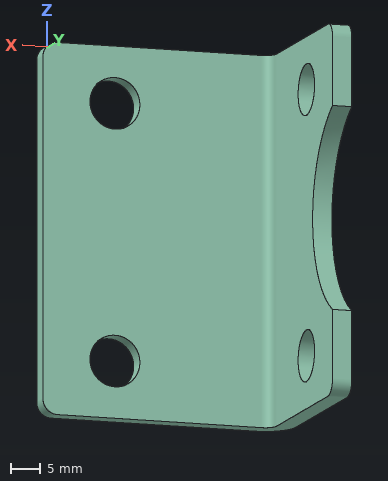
import cadquery as cq

length_x = 45.0
length_y = 36.0
height = 65.0
thickness = 3.5
bend_outer_radius = 5.5
bend_inner_radius = bend_outer_radius - thickness
corner_radius = 2.6

hole_diameter = 9.0
x_leg_hole_offset = 32.0
x_leg_hole_spacing = 45.0
y_leg_hole_offset = 21.8
y_leg_hole_spacing = 46.5

notch_radius = 20.0
notch_depth = 10.85
notch_center_y = length_y - notch_depth + notch_radius

mid_height = height / 2


def bent_plate():
    """L-shaped plate with a rounded bend along Z and its outer corner at the origin."""
    plate = (
        cq.Workplane("XY")
        .moveTo(0, 0)
        .lineTo(length_x, 0)
        .lineTo(length_x, thickness)
        .lineTo(thickness, thickness)
        .lineTo(thickness, length_y)
        .lineTo(0, length_y)
        .close()
        .extrude(height)
    )
    inner_corner = cq.selectors.NearestToPointSelector((thickness, thickness, mid_height))
    outer_corner = cq.selectors.NearestToPointSelector((0, 0, mid_height))
    plate = plate.edges("|Z").edges(inner_corner).fillet(bend_inner_radius)
    plate = plate.edges("|Z").edges(outer_corner).fillet(bend_outer_radius)
    plate = plate.faces(">X").edges("|Y").fillet(corner_radius)
    return plate.faces(">Y").edges("|X").fillet(corner_radius)


def cylinder_through_x_leg(x, z, radius):
    return cq.Workplane("XZ").center(x, z).circle(radius).extrude(-thickness)


def cylinder_through_y_leg(y, z, radius):
    return cq.Workplane("YZ").center(y, z).circle(radius).extrude(thickness)


result = bent_plate()
for side in (-1, 1):
    x_leg_hole_z = mid_height + side * x_leg_hole_spacing / 2
    y_leg_hole_z = mid_height + side * y_leg_hole_spacing / 2
    result = result.cut(cylinder_through_x_leg(x_leg_hole_offset, x_leg_hole_z, hole_diameter / 2))
    result = result.cut(cylinder_through_y_leg(y_leg_hole_offset, y_leg_hole_z, hole_diameter / 2))

result = result.cut(cylinder_through_y_leg(notch_center_y, mid_height, notch_radius))